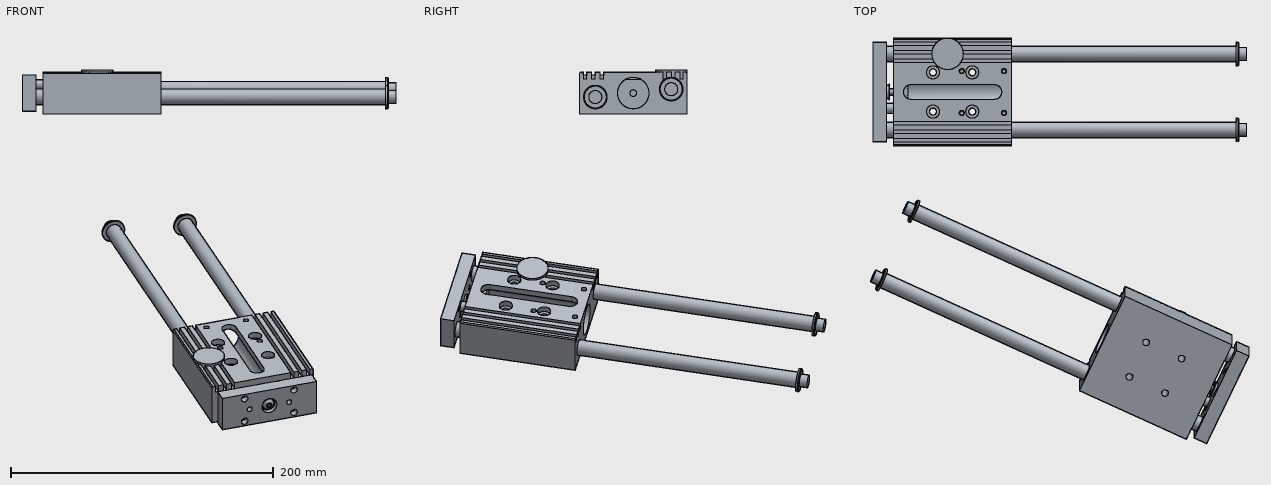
import cadquery as cq
import math

total_length = 285.0

plate_thickness = 10.5
plate_width = 76.0
plate_height = 28.0

plate_gap = 5.0
housing_start = plate_thickness + plate_gap
housing_length = 90.0
housing_width = 82.0
housing_height = 32.0
housing_end = housing_start + housing_length
housing_top = housing_height / 2
edge_chamfer = 0.9

groove_count = 3
groove_width = 2.5
groove_depth = 5.0
groove_first_y = 24.0
groove_last_y = 36.8
groove_pitch = (groove_last_y - groove_first_y) / (groove_count - 1)

bore_diameter = 24.0
bore_floor_depth = 11.0
bore_start = housing_start + bore_floor_depth
slot_start = housing_start + 7.7
slot_length = 75.0
slot_width = 11.0
slot_depth = 5.7

mount_diameter = 5.0
mount_counterbore_diameter = 10.0
mount_counterbore_depth = 4.8
mount_first_x = housing_start + 30.2
mount_pitch_x = 30.0
mount_spacing_y = 30.0

tapped_diameter = 4.0
tapped_depth = 7.0
tapping_drill_diameter = 3.0
tapping_drill_depth = 8.5
tapped_last_x = housing_end - 5.7
tapped_pitch_x = 32.2
tapped_spacing_y = 32.0
drill_point_angle = 118

cap_diameter = 24.0
cap_height = 1.7
cap_x = 57.0
cap_y = (housing_width - cap_diameter) / 2

rod_diameter = 12.0
rod_spacing_y = 57.9
rod_spacing_z = 6.0
flange_diameter = 18.0
flange_start = 277.0
flange_thickness = 2.0
flange_chamfer = 0.5
stud_diameter = 10.0

joint_hole_diameter = 12.0
joint_hole_depth = 4.3
joint_tip_depth = 0.9
joint_tip_diameter = 4.0
joint_socket_diameter = 3.0
joint_socket_depth = 2.3
joint_shoulder_depth = 2.8
joint_cone_diameter = 9.0
joint_collar_diameter = 10.5
joint_rim_diameter = 12.0
joint_rim_start = plate_thickness + 1.7
joint_rim_thickness = 0.5
piston_rod_diameter = 5.0

stop_pin_diameter = 8.0
stop_pin_y = -12.5
stop_pin_z = 6.3

plate_corner_thread_diameter = 5.0
plate_corner_thread_depth = 5.7
plate_corner_hole_diameter = 4.3
plate_corner_spacing_y = 40.0
plate_corner_spacing_z = 20.0
plate_side_hole_diameter = 4.0
plate_side_spacing_y = 32.0

rod_places = [(side * rod_spacing_y / 2, side * rod_spacing_z / 2) for side in (-1, 1)]


def block(start, length, width, height):
    """Box centred on the X axis, beginning at the given X."""
    return cq.Workplane("YZ", origin=(start, 0, 0)).rect(width, height).extrude(length)


def rods_along_x(diameter, start, end, places):
    """Cylinders parallel to X at the given (Y, Z) places."""
    plane = cq.Workplane("YZ", origin=(start, 0, 0))
    return plane.pushPoints(places).circle(diameter / 2).extrude(end - start)


def rectangle_corners(start, pitch, spacing):
    """Four (X, Y) points, paired about Y = 0."""
    return [(start + i * pitch, side * spacing / 2) for i in (0, 1) for side in (-1, 1)]


def cut_grooves(body):
    for side in (-1, 1):
        for i in range(groove_count):
            groove = block(housing_start, housing_length, groove_width, 2 * groove_depth)
            body = body.cut(groove.translate((0, side * (groove_first_y + i * groove_pitch), housing_top)))
    return body


def cut_bore_and_slot(body):
    bore = rods_along_x(bore_diameter, bore_start, housing_end, [(0, 0)])
    slot_plane = cq.Workplane("XY", origin=(slot_start + slot_length / 2, 0, housing_top - slot_depth))
    slot = slot_plane.slot2D(slot_length, slot_width).extrude(slot_depth)
    return body.cut(bore).cut(slot)


def cut_mounting_holes(body):
    places = rectangle_corners(mount_first_x, mount_pitch_x, mount_spacing_y)
    top = body.faces(">Z").workplane(origin=(0, 0, housing_top))
    return top.pushPoints(places).cboreHole(
        mount_diameter, mount_counterbore_diameter, mount_counterbore_depth
    )


def cut_tapped_holes(body):
    """Blind holes, each a thread bore above a narrower drilled end with a conical point."""
    thread_radius = tapped_diameter / 2
    drill_radius = tapping_drill_diameter / 2
    point_height = drill_radius / math.tan(math.radians(drill_point_angle / 2))
    profile = [
        (0, 0),
        (thread_radius, 0),
        (thread_radius, -tapped_depth),
        (drill_radius, -tapped_depth),
        (drill_radius, -tapping_drill_depth),
        (0, -tapping_drill_depth - point_height),
    ]
    hole = cq.Workplane("XZ").polyline(profile).close().revolve(360, (0, 0), (0, 1))
    first_x = tapped_last_x - tapped_pitch_x
    for x, y in rectangle_corners(first_x, tapped_pitch_x, tapped_spacing_y):
        body = body.cut(hole.translate((x, y, housing_top)))
    return body


def make_housing():
    body = block(housing_start, housing_length, housing_width, housing_height)
    body = body.faces(">Z").edges("|X").chamfer(edge_chamfer)
    body = cut_bore_and_slot(body)
    body = cut_mounting_holes(body)
    body = cut_tapped_holes(body)
    body = cut_grooves(body)
    cap_plane = cq.Workplane("XY", origin=(cap_x, cap_y, housing_top - groove_depth))
    body = body.union(cap_plane.circle(cap_diameter / 2).extrude(groove_depth + cap_height))
    body = body.cut(rods_along_x(rod_diameter, housing_start, housing_end, rod_places))
    return body.cut(rods_along_x(piston_rod_diameter, housing_start, bore_start, [(0, 0)]))


def make_plate():
    plate = block(0, plate_thickness, plate_width, plate_height)
    corner_places = [
        (side_y * plate_corner_spacing_y / 2, side_z * plate_corner_spacing_z / 2)
        for side_y in (-1, 1)
        for side_z in (-1, 1)
    ]
    side_places = [(side * plate_side_spacing_y / 2, 0) for side in (-1, 1)]
    plate = plate.cut(rods_along_x(plate_corner_hole_diameter, 0, plate_thickness, corner_places))
    plate = plate.cut(rods_along_x(plate_corner_thread_diameter, 0, plate_corner_thread_depth, corner_places))
    plate = plate.cut(rods_along_x(plate_side_hole_diameter, 0, plate_thickness, side_places))
    return plate.cut(rods_along_x(joint_hole_diameter, 0, joint_hole_depth, [(0, 0)]))


def make_centre_joint():
    """Coned collar with a socket in its tip, thin rim and piston rod, turned about the X axis."""
    socket_end = joint_tip_depth + joint_socket_depth
    socket_radius = joint_socket_diameter / 2
    tip_radius = joint_tip_diameter / 2
    collar_radius = joint_collar_diameter / 2
    rim_radius = joint_rim_diameter / 2
    rim_end = joint_rim_start + joint_rim_thickness
    rod_radius = piston_rod_diameter / 2
    profile = [
        (socket_end, 0),
        (socket_end, socket_radius),
        (joint_tip_depth, socket_radius),
        (joint_tip_depth, tip_radius),
        (joint_shoulder_depth, joint_cone_diameter / 2),
        (joint_shoulder_depth, collar_radius),
        (joint_rim_start, collar_radius),
        (joint_rim_start, rim_radius),
        (rim_end, rim_radius),
        (rim_end, rod_radius),
        (bore_start, rod_radius),
        (bore_start, 0),
    ]
    return cq.Workplane("XY").polyline(profile).close().revolve(360, (0, 0), (1, 0))


def make_guide_rods():
    flange_end = flange_start + flange_thickness
    rods = rods_along_x(rod_diameter, plate_thickness, flange_start, rod_places)
    flanges = rods_along_x(flange_diameter, flange_start, flange_end, rod_places)
    flanges = flanges.faces(">X").edges().chamfer(flange_chamfer)
    studs = rods_along_x(stud_diameter, flange_end, total_length, rod_places)
    return rods.union(flanges).union(studs)


def make_carriage():
    stop_pin = rods_along_x(stop_pin_diameter, plate_thickness, housing_start, [(stop_pin_y, stop_pin_z)])
    return make_plate().union(make_centre_joint()).union(make_guide_rods()).union(stop_pin)


housing = make_housing()
carriage = make_carriage()

result = cq.Compound.makeCompound([housing.val(), carriage.val()])